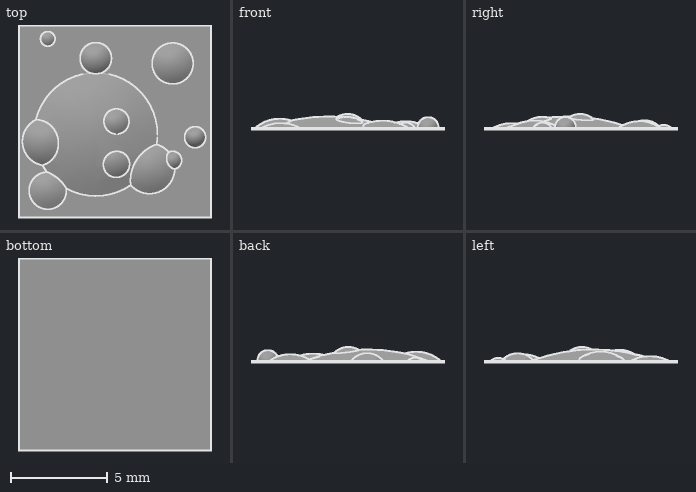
import cadquery as cq
import math

plate_side = 10.0
plate_thickness = 0.1

domes = [
    (-1.0, -0.66, 3.21, 0.59),
    (-3.5, 4.31, 0.38, 0.15),
    (-1.0, 3.3, 0.82, 0.39),
    (3.0, 3.03, 1.07, 0.34),
    (4.17, -0.81, 0.55, 0.55),
    (-3.56, -1.03, 1.26, 0.47),
    (-3.5, -3.59, 0.97, 0.24),
    (1.8, -2.44, 1.31, 0.37),
    (3.0, -2.01, 0.47, 0.26),
    (-0.02, -0.05, 0.99, 0.72),
    (-0.07, -2.01, 1.13, 0.57),
]


def make_dome(x, y, base_radius, height):
    """Spherical cap standing on the plate."""
    sphere_radius = (base_radius**2 + height**2) / (2 * height)
    centre_z = height - sphere_radius
    middle_x = base_radius / 2
    middle_z = centre_z + math.sqrt(sphere_radius**2 - middle_x**2)
    profile = (
        cq.Workplane("XZ")
        .moveTo(0, 0)
        .lineTo(base_radius, 0)
        .threePointArc((middle_x, middle_z), (0, height))
        .close()
    )
    cap = profile.revolve(360, (0, 0, 0), (0, 1, 0))
    return cap.translate((x, y, plate_thickness))


result = cq.Workplane("XY").box(
    plate_side, plate_side, plate_thickness, centered=(True, True, False)
)
for dome in domes:
    result = result.union(make_dome(*dome))